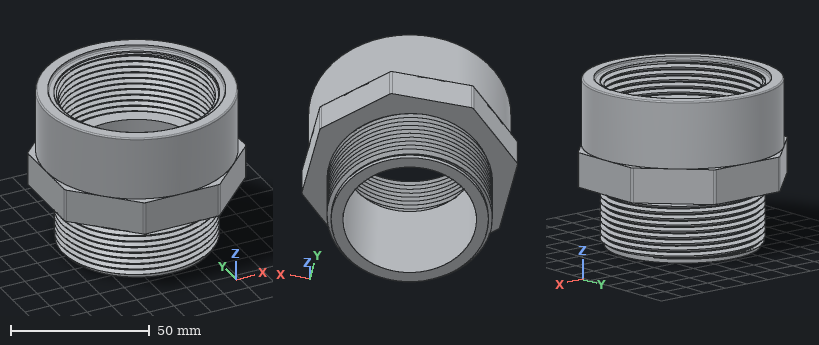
import cadquery as cq
import math

outer_diameter = 73.0
total_height = 62.0
hex_height = 12.9
side_count = 8
corner_radius = 1.45
rim_radius = 0.5

spigot_height = 24.1
lip_height = 1.6
external_turns = 9.75

bore_diameter = 48.0
socket_depth = 26.3
recess_diameter = 64.0
recess_depth = 1.3
recess_radius = 0.45
relief_height = 0.6

minor_diameter = 56.65
major_diameter = 59.65
root_flat = 0.4
sunk_depth = 0.15

thread_height = (major_diameter - minor_diameter) / 2
external_length = spigot_height - lip_height
pitch = external_length / external_turns
half_base = (pitch - root_flat) / 2

collar_bottom = spigot_height + hex_height
collar_height = total_height - collar_bottom
socket_floor = total_height - socket_depth
recess_floor = total_height - recess_depth
internal_top = recess_floor - relief_height
internal_length = internal_top - socket_floor


def disc(diameter, bottom, height):
    return cq.Workplane("XY").workplane(offset=bottom).circle(diameter / 2).extrude(height)


def thread_ridge(root_diameter, crest_diameter, bottom, length, crest_height, crest_angle):
    """Helical ridge cut flat at both ends; its crest passes crest_height at crest_angle."""
    root_radius = root_diameter / 2
    crest_radius = crest_diameter / 2
    sunk_radius = root_radius + math.copysign(sunk_depth, root_radius - crest_radius)
    sunk_half_base = half_base * (1 + sunk_depth / thread_height)

    turns_below = math.ceil((crest_height - bottom) / pitch) + 1
    start_height = crest_height - turns_below * pitch
    sweep_length = bottom + length + 2 * pitch - start_height

    profile = cq.Workplane("XZ").polyline(
        [(sunk_radius, -sunk_half_base), (crest_radius, 0), (sunk_radius, sunk_half_base)]
    ).close()
    helix = cq.Workplane(obj=cq.Wire.makeHelix(pitch, sweep_length, root_radius))
    ridge = profile.sweep(helix, isFrenet=True)
    ridge = ridge.rotate((0, 0, 0), (0, 0, 1), crest_angle).translate((0, 0, start_height))
    return ridge.intersect(disc(outer_diameter, bottom, length))


def octagon():
    corner_diameter = outer_diameter / math.cos(math.pi / side_count)
    block = cq.Workplane("XY").workplane(offset=spigot_height)
    block = block.polygon(side_count, corner_diameter).extrude(hex_height)
    block = block.rotate((0, 0, 0), (0, 0, 1), 180 / side_count)
    return block.edges("|Z").fillet(corner_radius)


def collar():
    return disc(outer_diameter, collar_bottom, collar_height).edges(">Z").fillet(rim_radius)


def spigot():
    core = disc(minor_diameter, 0, spigot_height)
    ridge = thread_ridge(
        minor_diameter, major_diameter, lip_height, external_length,
        crest_height=lip_height, crest_angle=180,
    )
    return core.union(ridge)


def socket():
    """Empty space of the socket: threaded hole, plain relief and rounded recess."""
    hole = disc(major_diameter, socket_floor, socket_depth)
    ridge = thread_ridge(
        major_diameter, minor_diameter, socket_floor, internal_length,
        crest_height=internal_top, crest_angle=90,
    )
    recess = disc(recess_diameter, recess_floor, recess_depth).edges("<Z").fillet(recess_radius)
    return hole.cut(ridge).union(recess)


body = octagon().union(collar()).union(spigot())
bore = disc(bore_diameter, 0, total_height)
result = body.cut(bore).cut(socket())